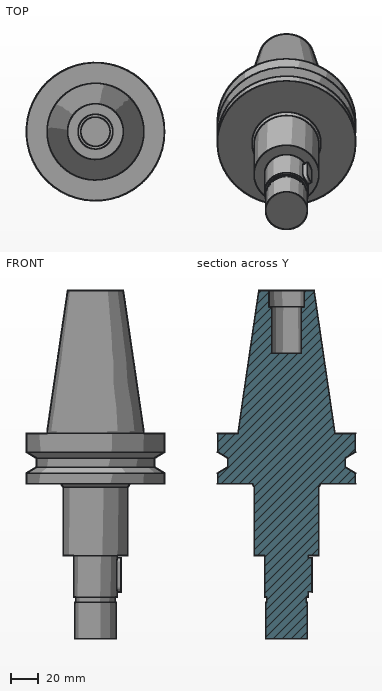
import cadquery as cq

total_height = 251.8
gauge_level = 150.0
flange_top = 148.5
upper_rim_bottom = 135.0
groove_top = 130.7
groove_bottom = 124.1
lower_rim_top = 119.9
flange_bottom = 112.0
boss_cone_bottom = 109.5
boss_bottom = 60.2
shaft_bottom = 30.2
pilot_top = 26.5

taper_small_radius = 20.1
taper_large_radius = 35.0
flange_radius = 100.0 / 2
groove_radius = 42.8
boss_cone_radius = 25.0
boss_radius = 23.5
shaft_radius = 15.9
relief_radius = 14.4
pilot_radius = 15.0

counterbore_radius = 12.5
counterbore_depth = 11.8
drawbar_hole_radius = 10.5
drawbar_hole_depth = 45.3

key_length = 25.0
key_width = 7.8
key_bottom = 33.7
key_outer_x = 18.6
key_seat_x = 12.5


def make_body():
    """Revolve the half profile of the taper, grooved flange and stepped shaft."""
    profile = [
        (0, 0),
        (pilot_radius, 0),
        (pilot_radius, pilot_top),
        (relief_radius, pilot_top),
        (relief_radius, shaft_bottom),
        (shaft_radius, shaft_bottom),
        (shaft_radius, boss_bottom),
        (boss_radius, boss_bottom),
        (boss_radius, boss_cone_bottom),
        (boss_cone_radius, flange_bottom),
        (flange_radius, flange_bottom),
        (flange_radius, lower_rim_top),
        (groove_radius, groove_bottom),
        (groove_radius, groove_top),
        (flange_radius, upper_rim_bottom),
        (flange_radius, flange_top),
        (taper_large_radius, flange_top),
        (taper_large_radius, gauge_level),
        (taper_small_radius, total_height),
        (0, total_height),
    ]
    return cq.Workplane("XZ").polyline(profile).close().revolve(360, (0, 0), (0, 1))


def make_key():
    """Key with its flat outer face square to X and its length along Z."""
    key_center = key_bottom + key_length / 2
    return (
        cq.Workplane("YZ", origin=(key_seat_x, 0, key_center))
        .slot2D(key_length, key_width, 90)
        .extrude(key_outer_x - key_seat_x)
    )


def make_hole(radius, depth):
    """Blind hole cutter going down from the small end of the taper."""
    return cq.Workplane("XY").workplane(offset=total_height).circle(radius).extrude(-depth)


result = (
    make_body()
    .union(make_key())
    .cut(make_hole(counterbore_radius, counterbore_depth))
    .cut(make_hole(drawbar_hole_radius, drawbar_hole_depth))
)